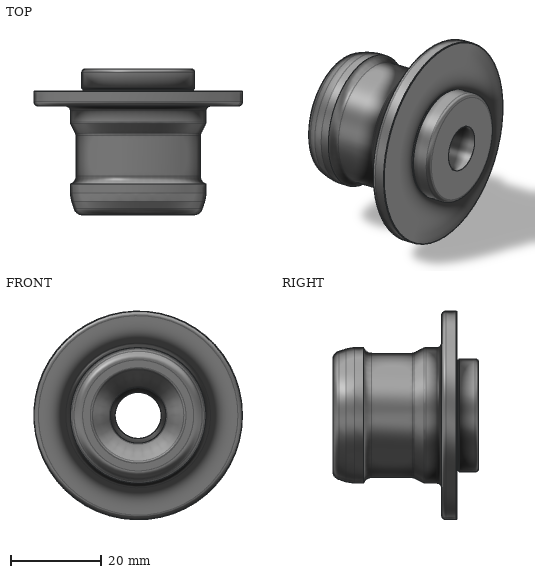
import cadquery as cq
import math

total_length = 32.3
nose_cone_start = 1.4
nose_cone_end = 2.9
nose_arc_end = 4.85
nose_back = 6.8
scoop_end = 8.6
taper_start = 17.85
taper_end = 20.37
flange_front = 24.05
flange_back = 27.45
relief_end = 28.05

flange_radius = 23.1
collar_radius = 15.0
neck_radius = 13.75
spigot_radius = 12.5
relief_radius = 12.25
nose_face_radius = 12.3
nose_cone_start_radius = 14.2
nose_cone_end_radius = 14.7

flange_fillet = 1.0
flange_back_chamfer = 0.15
spigot_fillet = 0.85
taper_fillet = 0.92
mouth_fillet = 0.65
throat_fillet = 0.92
relief_chamfer = spigot_radius - relief_radius

nose_corner_bulge = 0.385
nose_side_bulge = 0.06
scoop_bulge = 0.35

mouth_radius = 10.3
throat_radius = 6.15
bore_radius = 5.1
mouth_depth = 4.65
throat_end = 6.9
bore_start = 7.75

DIAGONAL = math.sqrt(0.5)
AXIS_START = (0, 0, 0)
AXIS_END = (0, 1, 0)


def corner_mid(center, radius, side_x, side_y):
    """Middle point of a quarter arc lying on the given side of its center."""
    return (center[0] + side_x * radius * DIAGONAL, center[1] + side_y * radius * DIAGONAL)


def chord_bulge(start, end, bulge):
    """Point a distance bulge to the right of the middle of the chord from start to end."""
    dx = end[0] - start[0]
    dy = end[1] - start[1]
    chord = math.hypot(dx, dy)
    return ((start[0] + end[0]) / 2 + bulge * dy / chord, (start[1] + end[1]) / 2 - bulge * dx / chord)


def circle_at(position, radius):
    """Selector for the circular edge of the given radius at an axial position."""
    margin = 0.05
    reach = radius + margin
    return cq.selectors.BoxSelector(
        (-reach, position - margin, -reach), (reach, position + margin, reach), boundingbox=True
    )


def outer_body():
    """Solid of revolution with a rounded nose, necked barrel, flange and rear spigot."""
    nose_face = (nose_face_radius, 0)
    cone_start = (nose_cone_start_radius, nose_cone_start)
    cone_end = (nose_cone_end_radius, nose_cone_end)
    arc_end = (collar_radius, nose_arc_end)
    scoop_start = (collar_radius, nose_back)
    scoop_stop = (neck_radius, scoop_end)

    root_center = (collar_radius + flange_fillet, flange_front - flange_fillet)
    rim_center = (flange_radius - flange_fillet, flange_front + flange_fillet)
    spigot_center = (spigot_radius - spigot_fillet, total_length - spigot_fillet)

    profile = (
        cq.Workplane("XY")
        .lineTo(*nose_face)
        .threePointArc(chord_bulge(nose_face, cone_start, nose_corner_bulge), cone_start)
        .lineTo(*cone_end)
        .threePointArc(chord_bulge(cone_end, arc_end, nose_side_bulge), arc_end)
        .lineTo(*scoop_start)
        .threePointArc(chord_bulge(scoop_start, scoop_stop, -scoop_bulge), scoop_stop)
        .lineTo(neck_radius, taper_start)
        .lineTo(collar_radius, taper_end)
        .lineTo(collar_radius, root_center[1])
        .threePointArc(corner_mid(root_center, flange_fillet, -1, 1), (root_center[0], flange_front))
        .lineTo(rim_center[0], flange_front)
        .threePointArc(corner_mid(rim_center, flange_fillet, 1, -1), (flange_radius, rim_center[1]))
        .lineTo(flange_radius, flange_back - flange_back_chamfer)
        .lineTo(flange_radius - flange_back_chamfer, flange_back)
        .lineTo(relief_radius, flange_back)
        .lineTo(relief_radius, relief_end - relief_chamfer)
        .lineTo(spigot_radius, relief_end)
        .lineTo(spigot_radius, spigot_center[1])
        .threePointArc(corner_mid(spigot_center, spigot_fillet, 1, 1), (spigot_center[0], total_length))
        .lineTo(0, total_length)
        .close()
    )
    body = profile.revolve(360, AXIS_START, AXIS_END)
    body = body.edges(circle_at(taper_start, neck_radius)).fillet(taper_fillet)
    return body.edges(circle_at(taper_end, collar_radius)).fillet(taper_fillet)


def bore():
    """Countersunk mouth, throat and through hole as one cutting solid."""
    profile = (
        cq.Workplane("XY")
        .lineTo(mouth_radius, 0)
        .lineTo(throat_radius, mouth_depth)
        .lineTo(throat_radius, throat_end)
        .lineTo(bore_radius, bore_start)
        .lineTo(bore_radius, total_length)
        .lineTo(0, total_length)
        .close()
    )
    return profile.revolve(360, AXIS_START, AXIS_END)


result = outer_body().cut(bore())
result = result.edges(circle_at(0, mouth_radius)).fillet(mouth_fillet)
result = result.edges(circle_at(mouth_depth, throat_radius)).fillet(throat_fillet)